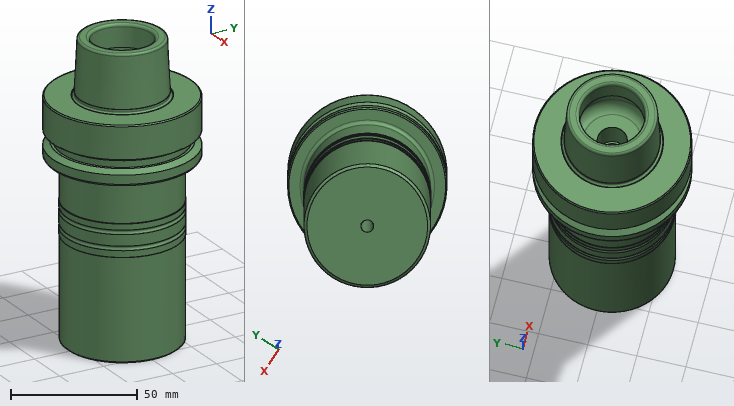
import cadquery as cq
import math


total_height = 130.0
shank_radius = 50.0 / 2
shank_bottom_chamfer = 0.9
shank_bottom_chamfer_height = 1.2
flange_fillet = 1.5

ring_radius = 50.5 / 2
ring_spans = [(45.6, 48.9), (50.5, 55.8), (57.3, 60.3)]
ring_groove_depth = 0.4

flange_radius = 63.0 / 2
flange_bottom = 79.0
flange_top = 105.0
flange_edge_chamfer = 0.5
flange_bottom_chamfer_height = 0.8
gripper_groove_radius = 55.0 / 2
gripper_groove_middle = 87.1
gripper_groove_mouth = 6.6
gripper_groove_floor = 3.4
gripper_flank_angle = 30.0

relief_outer_radius = 20.3
relief_floor_radius = 20.0
relief_depth = 0.3

neck_radius = 38.0 / 2
neck_top = 106.6
neck_chamfer = 0.1
neck_fillet = 0.8
taper_base_radius = neck_radius + neck_chamfer
taper_base = neck_top + neck_chamfer
taper_ratio = 0.1
taper_tip_rounding = 1.0

bore_radius = 26.0 / 2
bore_mouth_rounding = 1.3
clamping_shoulder_depth = 10.1
clamping_radius = 32.0 / 2
clamping_floor_radius = 11.6
clamping_depth = 24.5

counterbore_radius = 12.0 / 2
counterbore_depth = 13.0
pilot_radius = 10.1 / 2
pilot_depth = 15.6
pilot_point_angle = 118.0
coolant_radius = 5.0 / 2


def frustum(z_low, r_low, z_high, r_high):
    """Solid of revolution with straight flanks between two heights."""
    profile = cq.Workplane("XZ").polyline([(0, z_low), (r_low, z_low), (r_high, z_high), (0, z_high)]).close()
    return profile.revolve(360, (0, 0, 0), (0, 1, 0))


def cylinder(z_low, z_high, radius):
    return frustum(z_low, radius, z_high, radius)


def make_shank():
    shank = cylinder(0, flange_bottom, shank_radius)
    bottom_edge = shank.faces("<Z").edges()
    return bottom_edge.chamfer(shank_bottom_chamfer_height, shank_bottom_chamfer)


def make_ring(low, high):
    """Raised ring whose edges are chamfered down to the shank."""
    step = ring_radius - shank_radius
    ring = frustum(low, shank_radius, low + step, ring_radius)
    ring = ring.union(cylinder(low + step, high - step, ring_radius))
    return ring.union(frustum(high - step, ring_radius, high, shank_radius))


def make_ring_groove(low, high):
    """Cutter with an arc-shaped section, running around the shank."""
    deepest = (shank_radius - ring_groove_depth, (low + high) / 2)
    profile = cq.Workplane("XZ").moveTo(shank_radius, low).threePointArc(deepest, (shank_radius, high))
    return profile.close().revolve(360, (0, 0, 0), (0, 1, 0))


def make_flange():
    half_mouth = gripper_groove_mouth / 2
    half_floor = gripper_groove_floor / 2
    flank_foot_radius = flange_radius - (half_mouth - half_floor) / math.tan(math.radians(gripper_flank_angle))
    edge_radius = flange_radius - flange_edge_chamfer
    fillet_middle = flange_fillet * (1 - math.sqrt(0.5))
    profile = (
        cq.Workplane("XZ")
        .moveTo(0, flange_bottom - flange_fillet)
        .lineTo(shank_radius, flange_bottom - flange_fillet)
        .threePointArc(
            (shank_radius + fillet_middle, flange_bottom - fillet_middle),
            (shank_radius + flange_fillet, flange_bottom),
        )
        .lineTo(edge_radius, flange_bottom)
        .lineTo(flange_radius, flange_bottom + flange_bottom_chamfer_height)
        .lineTo(flange_radius, gripper_groove_middle - half_mouth)
        .lineTo(flank_foot_radius, gripper_groove_middle - half_floor)
        .lineTo(gripper_groove_radius, gripper_groove_middle - half_floor)
        .lineTo(gripper_groove_radius, gripper_groove_middle + half_floor)
        .lineTo(flank_foot_radius, gripper_groove_middle + half_floor)
        .lineTo(flange_radius, gripper_groove_middle + half_mouth)
        .lineTo(flange_radius, flange_top - flange_edge_chamfer)
        .lineTo(edge_radius, flange_top)
        .lineTo(relief_outer_radius, flange_top)
        .lineTo(relief_floor_radius, flange_top - relief_depth)
        .lineTo(0, flange_top - relief_depth)
        .close()
    )
    return profile.revolve(360, (0, 0, 0), (0, 1, 0))


def make_taper():
    """Neck with a fillet down to the relief floor, then the taper with a rounded tip."""
    relief_floor = flange_top - relief_depth
    fillet_middle = neck_fillet * (1 - math.sqrt(0.5))
    tip_radius = taper_base_radius - (total_height - taper_base) * taper_ratio / 2
    profile = (
        cq.Workplane("XZ")
        .moveTo(0, relief_floor)
        .lineTo(neck_radius + neck_fillet, relief_floor)
        .threePointArc(
            (neck_radius + fillet_middle, relief_floor + fillet_middle),
            (neck_radius, relief_floor + neck_fillet),
        )
        .lineTo(neck_radius, neck_top)
        .lineTo(taper_base_radius, taper_base)
        .lineTo(tip_radius, total_height)
        .lineTo(0, total_height)
        .close()
    )
    taper = profile.revolve(360, (0, 0, 0), (0, 1, 0))
    return taper.faces(">Z").edges().fillet(taper_tip_rounding)


def make_clamping_bore():
    """Bore with a rounded mouth, opening below into a wider space with a rounded floor."""
    shoulder = total_height - clamping_shoulder_depth
    floor = total_height - clamping_depth
    floor_rounding = clamping_radius - clamping_floor_radius
    wide_space = cylinder(floor, shoulder, clamping_radius)
    wide_space = wide_space.faces("<Z").edges().fillet(floor_rounding)
    mouth_middle = bore_mouth_rounding * (1 - math.sqrt(0.5))
    entry = (
        cq.Workplane("XZ")
        .moveTo(0, shoulder)
        .lineTo(bore_radius, shoulder)
        .lineTo(bore_radius, total_height - bore_mouth_rounding)
        .threePointArc(
            (bore_radius + mouth_middle, total_height - mouth_middle),
            (bore_radius + bore_mouth_rounding, total_height),
        )
        .lineTo(0, total_height)
        .close()
        .revolve(360, (0, 0, 0), (0, 1, 0))
    )
    return wide_space.union(entry)


def make_coolant_passage():
    """Counterbore, pilot bore with a drill point, and the through hole."""
    floor = total_height - clamping_depth
    pilot_end = floor - pilot_depth
    point_height = (pilot_radius - coolant_radius) / math.tan(math.radians(pilot_point_angle / 2))
    passage = cylinder(0, floor, coolant_radius)
    passage = passage.union(frustum(pilot_end - point_height, coolant_radius, pilot_end, pilot_radius))
    passage = passage.union(cylinder(pilot_end, floor, pilot_radius))
    return passage.union(cylinder(floor - counterbore_depth, floor, counterbore_radius))


shank = make_shank()
for ring_bottom, ring_top in ring_spans:
    shank = shank.union(make_ring(ring_bottom, ring_top))
for (_, groove_bottom), (groove_top, _) in zip(ring_spans, ring_spans[1:]):
    shank = shank.cut(make_ring_groove(groove_bottom, groove_top))

body = shank.union(make_flange()).union(make_taper())
result = body.cut(make_clamping_bore()).cut(make_coolant_passage())